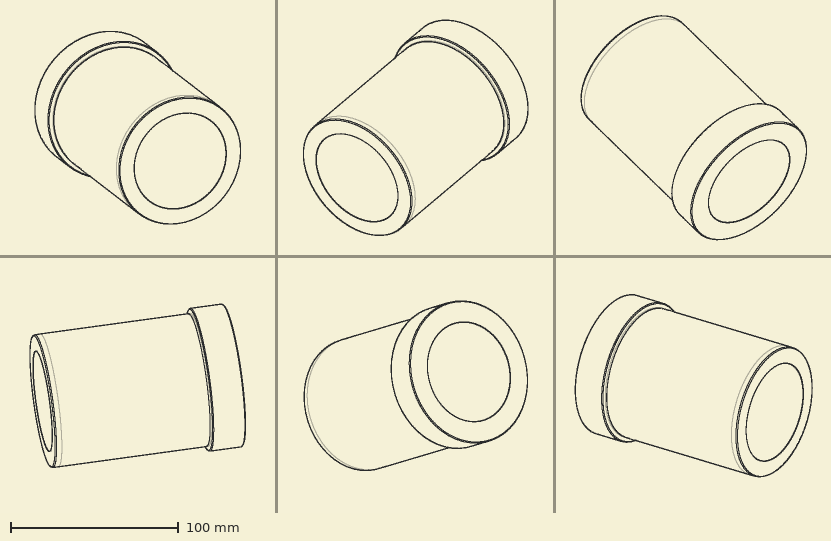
import cadquery as cq

total_length = 115.0
head_diameter = 86.0
head_length = 20.0
body_diameter = 80.0
bore_diameter = 60.0

head_chamfer = 0.6
end_chamfer_length = 0.8
end_chamfer_depth = 0.5
lead_length = 4.0
lead_diameter = 79.9
relief_width = 1.0
relief_depth = 0.5
bore_chamfer = 0.2

head_radius = head_diameter / 2
body_radius = body_diameter / 2
lead_radius = lead_diameter / 2
bore_radius = bore_diameter / 2
relief_radius = body_radius - relief_depth
relief_middle = head_length + relief_width / 2
relief_end = head_length + relief_width


def turned_blank():
    """Revolve the outer half-profile: head, neck relief, body and lead-in."""
    profile = (
        cq.Workplane("XY")
        .moveTo(0, 0)
        .lineTo(0, head_radius - head_chamfer)
        .lineTo(head_chamfer, head_radius)
        .lineTo(head_length - head_chamfer, head_radius)
        .lineTo(head_length, head_radius - head_chamfer)
        .lineTo(head_length, body_radius)
        .threePointArc((relief_middle, relief_radius), (relief_end, body_radius))
        .lineTo(total_length - lead_length, body_radius)
        .lineTo(total_length - end_chamfer_length, lead_radius)
        .lineTo(total_length, lead_radius - end_chamfer_depth)
        .lineTo(total_length, 0)
        .close()
    )
    return profile.revolve(360, (0, 0, 0), (1, 0, 0))


def through_bore():
    """Bore cutter, widened at both ends to break the bore edges."""
    mouth_radius = bore_radius + bore_chamfer
    profile = (
        cq.Workplane("XY")
        .moveTo(0, 0)
        .lineTo(0, mouth_radius)
        .lineTo(bore_chamfer, bore_radius)
        .lineTo(total_length - bore_chamfer, bore_radius)
        .lineTo(total_length, mouth_radius)
        .lineTo(total_length, 0)
        .close()
    )
    return profile.revolve(360, (0, 0, 0), (1, 0, 0))


result = turned_blank().cut(through_bore())